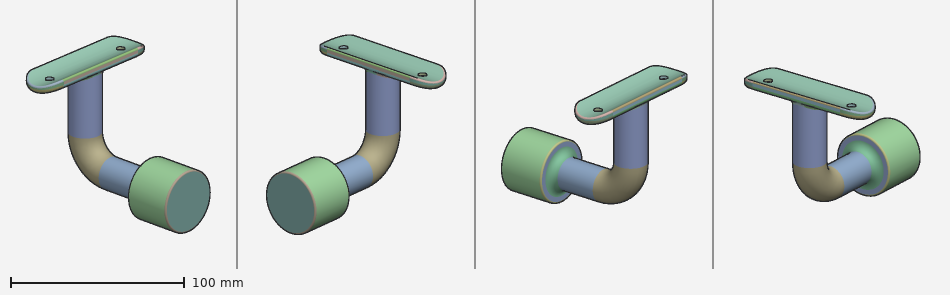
import cadquery as cq

tube_radius = 10.0
bend_radius = 2 * tube_radius

overall_length = 93.5
head_diameter = 38.1
head_length = 30.0
head_edge_radius = 1.0
arm_fillet = tube_radius / 2

plate_width = 25.1
plate_length = 88.0
plate_thickness = 4.8
rail_radius = 21.2
trough_height = 81.8
plate_top_edge_radius = 1.0
plate_bottom_edge_radius = 2.9
post_fillet = 2.7
hole_diameter = 5.05
hole_spacing = 60.0
countersink_diameter = 11.2

post_x = plate_width / 2
arm_z = head_diameter / 2
head_face_x = overall_length - head_length
rail_z = trough_height + rail_radius
plate_underside_radius = rail_radius + plate_thickness


def rail_cylinder(radius):
    """Cylinder on the rail axis, longer than the plate."""
    return (
        cq.Workplane("XZ")
        .center(post_x, rail_z)
        .circle(radius)
        .extrude(plate_length, both=True)
    )


def saddle_plate():
    """Round-ended plate between two concentric cylinders."""
    blank = (
        cq.Workplane("XY", origin=(post_x, 0, rail_z - plate_underside_radius))
        .slot2D(plate_length, plate_width, 90)
        .extrude(plate_underside_radius)
    )
    plate = blank.intersect(rail_cylinder(plate_underside_radius)).cut(rail_cylinder(rail_radius))
    top_face = plate.faces(cq.selectors.NearestToPointSelector((post_x, 0, trough_height)))
    plate = top_face.edges().fillet(plate_top_edge_radius)
    bottom_point = (post_x, 0, trough_height - plate_thickness)
    bottom_face = plate.faces(cq.selectors.NearestToPointSelector(bottom_point))
    return bottom_face.edges().fillet(plate_bottom_edge_radius)


def bent_tube():
    """Solid round bar swept from the head face, round the bend and up into the plate."""
    path = (
        cq.Workplane("XZ")
        .moveTo(head_face_x, arm_z)
        .lineTo(post_x + bend_radius, arm_z)
        .radiusArc((post_x, arm_z + bend_radius), bend_radius)
        .lineTo(post_x, trough_height - plate_thickness / 2)
    )
    return cq.Workplane("YZ", origin=(head_face_x, 0, arm_z)).circle(tube_radius).sweep(path)


def head():
    """Solid cylinder with rounded rims."""
    return (
        cq.Workplane("YZ", origin=(head_face_x, 0, arm_z))
        .circle(head_diameter / 2)
        .extrude(head_length)
        .edges()
        .fillet(head_edge_radius)
    )


def box_around(x, z, size):
    """Selector for edges lying within a cube centred on (x, 0, z)."""
    half = size / 2
    return cq.selectors.BoxSelector((x - half, -half, z - half), (x + half, half, z + half), True)


body = bent_tube().union(saddle_plate()).union(head())
joint_size = 2 * tube_radius + 0.9
body = body.edges(box_around(head_face_x, arm_z, joint_size)).fillet(arm_fillet)
body = body.edges(box_around(post_x, trough_height - plate_thickness, joint_size)).fillet(post_fillet)

underside_z = trough_height - plate_thickness
countersink_depth = (countersink_diameter - hole_diameter) / 2
for hole_y in (-hole_spacing / 2, hole_spacing / 2):
    hole_start = cq.Workplane("XY", origin=(post_x, hole_y, underside_z))
    through_hole = hole_start.circle(hole_diameter / 2).extrude(2 * plate_thickness)
    countersink = (
        hole_start.circle(countersink_diameter / 2)
        .workplane(offset=countersink_depth)
        .circle(hole_diameter / 2)
        .loft()
    )
    body = body.cut(through_hole).cut(countersink)

result = body